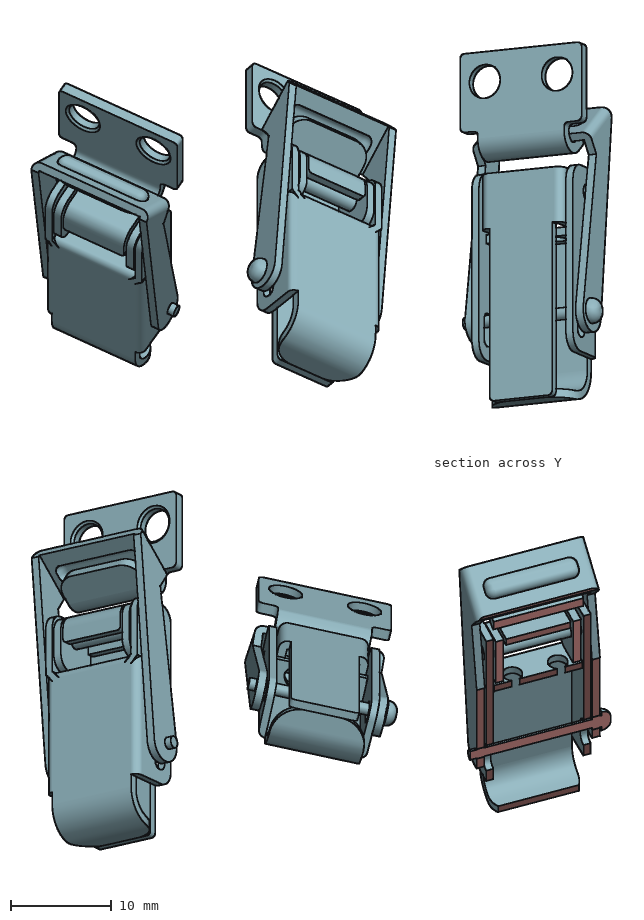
import cadquery as cq
import math

OVERALL_HEIGHT = 35.5
SHEET = 0.85
FRONT = 6.1

STRIKE_WIDTH = 13.5
STRIKE_SHEET = 1.1
STRIKE_SHOULDER_Z = 27.5
STRIKE_CORNER = 0.5
HOLE_SPACING = 8.02
HOLE_Z = 32.5
HOLE_DIAMETER = 3.4
HOLE_CHAMFER = 0.25
HOOK_WIDTH = 9.6
HOOK_INNER_RADIUS = 0.9
HOOK_TIP_Z = 27.95
HOOK_TIP_CORNER = 2.0

BAIL_WIDTH = 13.15
BAIL_TILT = 38.0
BAIL_TOP_REAR = (-2.05, 26.75)
BAIL_TOP_LENGTH = 5.5
BAIL_REAR_DROP = 2.52
BAIL_FRONT = 7.05
BAIL_END = (-2.7, 8.6)
BAIL_END_RADIUS = 2.0
BEAD_LENGTH = 9.95
BEAD_WIDTH = 2.13
BEAD_HEIGHT = 0.8
BEAD_CORNER = 0.8
BEAD_ROUNDING = 0.78

LEVER_REAR_HALF_WIDTH = 5.6
LEVER_FRONT_HALF_WIDTH = 5.5
LEVER_SIDE_SHEET = 0.78
LEVER_REAR = 0.35
LEVER_SIDE_BOTTOM_Z = 4.6
LEVER_SIDE_TOP_Z = 23.5
LEVER_REAR_CORNER = 1.7
LEVER_FRONT_CORNER = 1.53
LEVER_FACE_HALF_WIDTH = 4.75
LEVER_BEND = 0.78
BEND_TOP_Z = 16.3
FLANGE_Z = 17.3
FLANGE_REAR = 1.7
FLANGE_HOLE_DIAMETER = 2.0
FLANGE_HOLE_SPACING = 4.83
FLANGE_HOLE_DEPTH = 3.15
FLANGE_ROUNDING = 0.75
CURL_RADIUS = 3.35
CURL_TIP_CORNER = 2.95
SLOT_WIDTH = 1.6
SLOT_BOTTOM_Z = 6.07

BASE_TOP_Z = 23.1
EAR_BOTTOM_Z = 17.5
EAR_HALF_WIDTH = 4.55
EAR_CORNER = 1.53
BASE_PLATE_WIDTH = 6.95
BASE_CORNER = 0.45

SADDLE_WIDTH = 6.9
SADDLE_BOTTOM_Z = 20.1
SADDLE_LIP_CORNER = 0.35

PIVOT = (-3.55, 20.98)
PIVOT_DIAMETER = 1.65
PIVOT_LENGTH = 11.15

RIVET = (-2.25, 8.63)
RIVET_SHANK_DIAMETER = 1.2
RIVET_SHOULDER_DIAMETER = 1.6
RIVET_TAIL_X = 7.28
RIVET_HEAD_X = -6.7
RIVET_HEAD_DIAMETER = 2.55
RIVET_HEAD_HEIGHT = 1.03
RIVET_HEAD_ROUNDING = 1.0

TILT = math.radians(BAIL_TILT)
TOP_DIRECTION = (-math.cos(TILT), math.sin(TILT))
TOP_NORMAL = (math.sin(TILT), math.cos(TILT))
BAIL_INNER_WIDTH = BAIL_WIDTH - 2 * SHEET


def along(point, direction, distance):
    """Point at a distance from another one, in the YZ plane."""
    return (point[0] + distance * direction[0], point[1] + distance * direction[1])


def side_prism(outline, width):
    """Closed YZ outline extruded evenly to both sides of X = 0."""
    return outline.close().extrude(width / 2, both=True)


def side_rod(centre, diameter, x_start, x_end):
    """Round rod along X."""
    plane = cq.Workplane("YZ", origin=(x_start, centre[0], centre[1]))
    return plane.circle(diameter / 2).extrude(x_end - x_start)


def block(width, y_rear, y_front, z_bottom, z_top):
    """Box centred on X = 0; y_rear and y_front are distances from the back."""
    box = cq.Workplane("XY").box(width, y_front - y_rear, z_top - z_bottom, centered=(True, False, False))
    return box.translate((0, -y_front, z_bottom))


def strike_plate():
    """Screw plate whose lower end is bent forward and up under the bail's top plate."""
    inner, outer = HOOK_INNER_RADIUS, HOOK_INNER_RADIUS + STRIKE_SHEET
    touch = along(BAIL_TOP_REAR, TOP_NORMAL, -SHEET)
    centre_y = -outer
    rise = (inner - (centre_y - touch[0]) * TOP_NORMAL[0]) / TOP_NORMAL[1]
    centre = (centre_y, touch[1] + rise)
    middle_angle = -(math.pi / 2 + TILT) / 2
    end_direction = (-TOP_NORMAL[0], -TOP_NORMAL[1])
    middle_direction = (math.cos(middle_angle), math.sin(middle_angle))
    inner_end = along(centre, end_direction, inner)
    outer_end = along(centre, end_direction, outer)
    hook_length = (HOOK_TIP_Z - inner_end[1]) / TOP_DIRECTION[1]
    hook = side_prism(
        cq.Workplane("YZ")
        .moveTo(0, STRIKE_SHOULDER_Z)
        .lineTo(0, centre[1])
        .threePointArc(along(centre, middle_direction, outer), outer_end)
        .lineTo(*along(outer_end, TOP_DIRECTION, hook_length))
        .lineTo(*along(inner_end, TOP_DIRECTION, hook_length))
        .lineTo(*inner_end)
        .threePointArc(along(centre, middle_direction, inner), (-STRIKE_SHEET, centre[1]))
        .lineTo(-STRIKE_SHEET, STRIKE_SHOULDER_Z),
        HOOK_WIDTH,
    )
    tip_edges = cq.selectors.ParallelDirSelector(cq.Vector(0, *TOP_NORMAL))
    hook = hook.edges(tip_edges).fillet(HOOK_TIP_CORNER)

    plate = block(STRIKE_WIDTH, 0, STRIKE_SHEET, STRIKE_SHOULDER_Z, OVERALL_HEIGHT)
    strike = plate.edges("|Y").fillet(STRIKE_CORNER).union(hook)
    for side in (-1, 1):
        neck = (side * HOOK_WIDTH / 2, -STRIKE_SHEET / 2, STRIKE_SHOULDER_Z)
        strike = strike.edges(cq.selectors.NearestToPointSelector(neck)).fillet(STRIKE_CORNER)

    front_face = cq.Workplane("XZ", origin=(0, -STRIKE_SHEET, HOLE_Z))
    hole_places = [(-HOLE_SPACING / 2, 0), (HOLE_SPACING / 2, 0)]
    holes = front_face.pushPoints(hole_places)
    strike = strike.cut(holes.circle(HOLE_DIAMETER / 2).extrude(-STRIKE_SHEET))
    rim_radius = HOLE_DIAMETER / 2 + HOLE_CHAMFER
    for x, _ in hole_places:
        rim = cq.Solid.makeCone(
            rim_radius, HOLE_DIAMETER / 2, HOLE_CHAMFER,
            pnt=cq.Vector(x, -STRIKE_SHEET, HOLE_Z), dir=cq.Vector(0, 1, 0),
        )
        strike = strike.cut(cq.Workplane(rim))
    return strike


def tangent_point(point, centre, radius, turn):
    """Where a line from the point touches a circle; turn is +1 or -1 for the two sides."""
    distance = math.hypot(point[0] - centre[0], point[1] - centre[1])
    angle = math.atan2(point[1] - centre[1], point[0] - centre[0])
    angle += turn * math.acos(radius / distance)
    return along(centre, (math.cos(angle), math.sin(angle)), radius)


def bead(top_plane):
    """Rounded ridge standing on the given plane."""
    ridge = cq.Workplane(top_plane).rect(BEAD_LENGTH, BEAD_WIDTH).extrude(BEAD_HEIGHT)
    upright = cq.selectors.ParallelDirSelector(top_plane.zDir)
    ridge = ridge.edges(upright).fillet(BEAD_CORNER)
    return ridge.faces(cq.selectors.DirectionMinMaxSelector(top_plane.zDir)).edges().fillet(BEAD_ROUNDING)


def bail():
    """U-shaped bail: two arms joined by a sloping top plate with an embossed bead."""
    top_front = along(BAIL_TOP_REAR, TOP_DIRECTION, BAIL_TOP_LENGTH)
    inward = (-TOP_NORMAL[0], -TOP_NORMAL[1])
    front_drop = (BAIL_FRONT + top_front[0]) / TOP_NORMAL[0]
    nose = along(top_front, inward, front_drop)
    heel = along(BAIL_TOP_REAR, inward, BAIL_REAR_DROP)
    front_tangent = tangent_point(nose, BAIL_END, BAIL_END_RADIUS, 1)
    rear_tangent = tangent_point(heel, BAIL_END, BAIL_END_RADIUS, -1)
    end_bottom = (BAIL_END[0], BAIL_END[1] - BAIL_END_RADIUS)
    body = side_prism(
        cq.Workplane("YZ")
        .polyline([BAIL_TOP_REAR, top_front, nose, front_tangent])
        .threePointArc(end_bottom, rear_tangent)
        .lineTo(*heel),
        BAIL_WIDTH,
    )
    top_edges = cq.selectors.ParallelDirSelector(cq.Vector(0, *TOP_DIRECTION))
    body = body.edges(top_edges).fillet(SHEET)

    top_middle = along(BAIL_TOP_REAR, TOP_DIRECTION, BAIL_TOP_LENGTH / 2)
    normal = (0, *TOP_NORMAL)
    inner_middle = along(top_middle, inward, SHEET)
    outer_plane = cq.Plane(origin=(0, *top_middle), xDir=(1, 0, 0), normal=normal)
    inner_plane = cq.Plane(origin=(0, *inner_middle), xDir=(1, 0, 0), normal=normal)
    opening = cq.Workplane(inner_plane).rect(BAIL_INNER_WIDTH, OVERALL_HEIGHT * 2).extrude(-OVERALL_HEIGHT)
    body = body.cut(opening).union(bead(outer_plane)).cut(bead(inner_plane))

    body = body.cut(side_rod(RIVET, RIVET_SHOULDER_DIAMETER, -BAIL_WIDTH / 2, 0))
    return body.cut(side_rod(RIVET, RIVET_SHANK_DIAMETER, 0, BAIL_WIDTH / 2))


def splayed_block(inset):
    """Full-height block of the lever, wider at the rear, with its sides moved inwards by the inset."""
    rear_half, front_half = LEVER_REAR_HALF_WIDTH - inset, LEVER_FRONT_HALF_WIDTH - inset
    corners = [
        (-rear_half, -LEVER_REAR),
        (-front_half, -FRONT),
        (front_half, -FRONT),
        (rear_half, -LEVER_REAR),
    ]
    level = cq.Workplane("XY", origin=(0, 0, LEVER_SIDE_BOTTOM_Z))
    return level.polyline(corners).close().extrude(LEVER_SIDE_TOP_Z - LEVER_SIDE_BOTTOM_Z)


def lever_channel():
    """Front plate with two slightly splayed sides, bent over a rounded edge up to a mitre."""
    rear_half = LEVER_REAR_HALF_WIDTH
    outside = splayed_block(0)
    inside = splayed_block(LEVER_SIDE_SHEET)
    mitre_top_z = BEND_TOP_Z + rear_half - LEVER_FACE_HALF_WIDTH
    below_mitre = (
        cq.Workplane("XZ")
        .moveTo(-rear_half, 0)
        .lineTo(-rear_half, mitre_top_z)
        .lineTo(-LEVER_FACE_HALF_WIDTH, BEND_TOP_Z)
        .lineTo(LEVER_FACE_HALF_WIDTH, BEND_TOP_Z)
        .lineTo(rear_half, mitre_top_z)
        .lineTo(rear_half, 0)
        .close()
        .extrude(FRONT)
    )
    rounded = outside.faces("<Y").edges("|Z").fillet(LEVER_BEND)
    bend_waste = outside.cut(rounded).intersect(below_mitre)

    above_flange = block(2 * rear_half, 0, FRONT, FLANGE_Z, LEVER_SIDE_TOP_Z)
    behind_plate = block(2 * rear_half, 0, FRONT - SHEET, 0, LEVER_SIDE_TOP_Z)
    opening = inside.intersect(above_flange.union(behind_plate))

    side = block(2 * rear_half, LEVER_REAR, FRONT, LEVER_SIDE_BOTTOM_Z, LEVER_SIDE_TOP_Z)
    side = side.faces(">Y").edges("|X").fillet(LEVER_REAR_CORNER)
    side = side.edges("|X and >Z and <Y").fillet(LEVER_FRONT_CORNER)
    outline_waste = outside.cut(outside.intersect(side))
    return outside.cut(opening).cut(bend_waste).cut(outline_waste)


def lever_flange():
    """Shelf bent backwards from the top of the front plate."""
    width = 2 * (LEVER_FRONT_HALF_WIDTH - LEVER_SIDE_SHEET)
    flange = block(width, FLANGE_REAR, FRONT - SHEET / 2, FLANGE_Z - SHEET, FLANGE_Z)
    half_spacing = FLANGE_HOLE_SPACING / 2
    top = cq.Workplane("XY", origin=(0, -FLANGE_HOLE_DEPTH, FLANGE_Z))
    holes = top.pushPoints([(-half_spacing, 0), (half_spacing, 0)])
    return flange.cut(holes.circle(FLANGE_HOLE_DIAMETER / 2).extrude(-SHEET))


def flange_edge_waste():
    """Material outside the rounded front edge of the flange, ending in mitres at the sides."""
    half_width = LEVER_FRONT_HALF_WIDTH - LEVER_SIDE_SHEET
    bottom = FLANGE_Z - FLANGE_ROUNDING
    strip = (
        cq.Workplane("XZ", origin=(0, FLANGE_ROUNDING - FRONT, 0))
        .moveTo(-half_width, FLANGE_Z)
        .lineTo(half_width, FLANGE_Z)
        .lineTo(half_width - FLANGE_ROUNDING, bottom)
        .lineTo(FLANGE_ROUNDING - half_width, bottom)
        .close()
        .extrude(FLANGE_ROUNDING)
    )
    axis = (FLANGE_ROUNDING - FRONT, bottom)
    return strip.cut(side_rod(axis, 2 * FLANGE_ROUNDING, -half_width, half_width))


def lever_curl():
    """Lower end of the front plate, curled back to the base as a finger grip."""
    inner = CURL_RADIUS - SHEET
    centre_y = CURL_RADIUS - FRONT
    diagonal = math.sqrt(0.5)
    middle = (-diagonal, -diagonal)
    centre = (centre_y, CURL_RADIUS)
    strip = side_prism(
        cq.Workplane("YZ")
        .moveTo(-FRONT, LEVER_SIDE_BOTTOM_Z)
        .lineTo(-FRONT, CURL_RADIUS)
        .threePointArc(along(centre, middle, CURL_RADIUS), (centre_y, 0))
        .lineTo(-SHEET, 0)
        .lineTo(-SHEET, SHEET)
        .lineTo(centre_y, SHEET)
        .threePointArc(along(centre, middle, inner), (SHEET - FRONT, CURL_RADIUS))
        .lineTo(SHEET - FRONT, LEVER_SIDE_BOTTOM_Z),
        2 * LEVER_FACE_HALF_WIDTH,
    )
    return strip.faces(">Y").edges("|Z").fillet(CURL_TIP_CORNER)


def lever():
    """Operating lever with pivot holes and the slots for the rivet."""
    width = 2 * LEVER_REAR_HALF_WIDTH
    body = lever_channel().union(lever_flange()).cut(flange_edge_waste()).union(lever_curl())
    body = body.cut(side_rod(PIVOT, PIVOT_DIAMETER, -width / 2, width / 2))
    slot_bottom = (RIVET[0], SLOT_BOTTOM_Z + SLOT_WIDTH / 2)
    slot_rear, slot_front = -RIVET[0] - SLOT_WIDTH / 2, -RIVET[0] + SLOT_WIDTH / 2
    slot = block(width, slot_rear, slot_front, slot_bottom[1], RIVET[1])
    for end in (slot_bottom, RIVET):
        slot = slot.union(side_rod(end, SLOT_WIDTH, -width / 2, width / 2))
    return body.cut(slot)


def base():
    """Back plate with two ears that carry the pivot pin."""
    ears = block(2 * EAR_HALF_WIDTH, 0, FRONT, EAR_BOTTOM_Z, BASE_TOP_Z)
    ears = ears.faces(">Y").edges("|Z").fillet(SHEET)
    ears = ears.faces("<Y").edges("|X").fillet(EAR_CORNER)
    ears = ears.cut(block(2 * (EAR_HALF_WIDTH - SHEET), SHEET, FRONT, EAR_BOTTOM_Z, BASE_TOP_Z))
    ears = ears.cut(side_rod(PIVOT, PIVOT_DIAMETER, -EAR_HALF_WIDTH, EAR_HALF_WIDTH))
    plate = block(BASE_PLATE_WIDTH, 0, SHEET, 0, BASE_TOP_Z)
    return plate.faces("<Z").edges("|Y").fillet(BASE_CORNER).union(ears)


def saddle():
    """Inverted U of sheet that straddles the pivot pin between the ears."""
    body = block(SADDLE_WIDTH, SHEET, FRONT, SADDLE_BOTTOM_Z, BASE_TOP_Z)
    body = body.edges("|X and >Z and <Y").fillet(EAR_CORNER)
    hollow = block(SADDLE_WIDTH, 2 * SHEET, FRONT - SHEET, SADDLE_BOTTOM_Z, BASE_TOP_Z - SHEET)
    body = body.cut(hollow.edges("|X and >Z and <Y").fillet(EAR_CORNER - SHEET))
    lip = block(SADDLE_WIDTH, FRONT - SHEET, FRONT, SADDLE_BOTTOM_Z, BASE_TOP_Z)
    lip = lip.edges("|Y and <Z").fillet(SADDLE_LIP_CORNER)
    rest = block(SADDLE_WIDTH, 0, FRONT - SHEET, SADDLE_BOTTOM_Z, BASE_TOP_Z)
    return body.intersect(lip.union(rest))


def pivot_pin():
    """Pin through the lever and the ears of the base."""
    return side_rod(PIVOT, PIVOT_DIAMETER, -PIVOT_LENGTH / 2, PIVOT_LENGTH / 2)


def rivet():
    """Domed rivet with a shoulder in the left arm of the bail."""
    head_tip_x = RIVET_HEAD_X - RIVET_HEAD_HEIGHT
    head = side_rod(RIVET, RIVET_HEAD_DIAMETER, head_tip_x, RIVET_HEAD_X)
    head = head.faces("<X").edges().fillet(RIVET_HEAD_ROUNDING)
    shoulder_end = SHEET - BAIL_WIDTH / 2
    shoulder = side_rod(RIVET, RIVET_SHOULDER_DIAMETER, RIVET_HEAD_X, shoulder_end)
    shank = side_rod(RIVET, RIVET_SHANK_DIAMETER, RIVET_HEAD_X, RIVET_TAIL_X)
    return head.union(shoulder).union(shank)


result = cq.Compound.makeCompound([
    strike_plate().val(),
    bail().val(),
    lever().val(),
    base().val(),
    saddle().val(),
    pivot_pin().val(),
    rivet().val(),
])